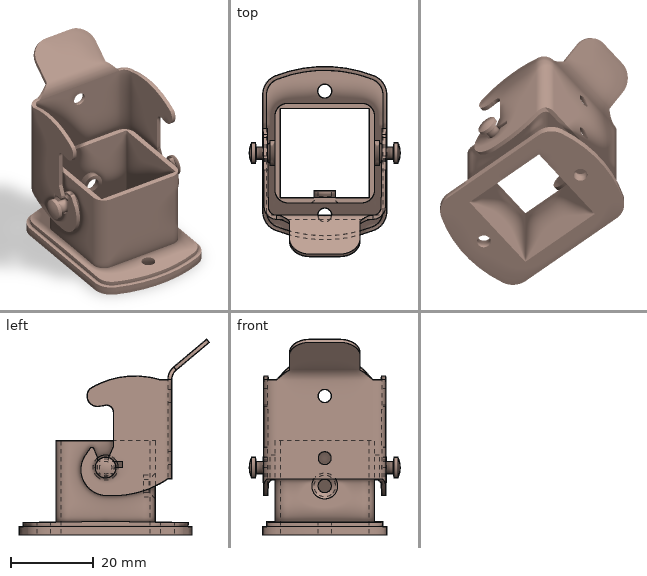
import cadquery as cq
import math

flange_half_x = 15.0
flange_half_y = 20.9
flange_height = 2.1
flange_end_radius = 32.5
flange_corner_radius = 4.95
step_inset = 0.95
step_ridge_z = 3.3
step_edge_z = 3.08
mount_hole_y = 14.95
mount_hole_radius = 1.65

post_size = 24.05
post_top_z = 22.85
post_corner_radius = 3.08
core_size = 21.5

screw_z = 11.9
screw_hole_radius = 1.6
countersink_radius = 3.1
screw_boss_radius = 2.6
screw_boss_length = 1.65

pin_z = 16.33
pin_radius = 1.5
pin_disc_radius = 3.05
pin_disc_x = 13.2
pin_cone_x = 13.85
pin_cone_base_radius = 2.45
pin_cone_tip_radius = 2.1
head_neck_x = 16.5
head_rim_inner_x = 16.75
head_rim_outer_x = 17.65
pin_span = 36.5
head_tip_x = pin_span / 2
head_radius = 2.5

sheet = 1.0
lever_front_y = -16.0
lever_bend_radius = 3.0
lever_half_x_front = 14.57
lever_half_x_back = 14.85
lever_back_y = 6.15
lever_top_z = 37.55
lever_hole_radius = 1.55
lever_hole_heights = (18.6, 33.6)

hook_center = (-0.3, 15.8)
hook_radius = 6.25
hook_bottom_angle = -92
hook_top_angle = 30
hook_tip = (3.3, 21.2)
hook_tip_half_width = 0.43
belly_mid = (-9.15, 10.7)
belly_front_z = 13.6
nose_center = (1.95, 33.6)
nose_radius = 2.55
nose_top_angle = 45
nose_bottom_angle = -107
crown_mid = (-5.2, 38.4)
throat_center = (-0.2, 29.7)
throat_radius = 1.65
throat_start_angle = 65
seat_radius = 2.0
mouth_inner = (-0.7, 18.75)
mouth_outer_z = 21.3
slot_lip_z = 18.85
notch_end_y = -4.1
notch_bottom_z = 16.33
notch_height = 1.45

tab_bend_angle = 50
tab_bend_radius = 3.0
tab_length = 10.4
tab_half_width = 8.5
tab_corner_radius = 4.9
tab_flare_depth = 4.75


def polar(center, radius, degrees):
    """Point on a circle at the given angle."""
    angle = math.radians(degrees)
    return (center[0] + radius * math.cos(angle), center[1] + radius * math.sin(angle))


def bulged_plate(inset, height):
    """Rectangle with arched ends and rounded corners, shrunk by inset."""
    half_x = flange_half_x - inset
    half_y = flange_half_y - inset
    end_radius = flange_end_radius - inset
    plate = cq.Workplane("XY").rect(2 * half_x, 2 * half_y).extrude(height)
    for side in (-1, 1):
        disc = cq.Workplane("XY").center(0, side * (half_y - end_radius)).circle(end_radius).extrude(height)
        plate = plate.intersect(disc)
    return plate.edges("|Z").fillet(flange_corner_radius - inset)


def base():
    flange = bulged_plate(0, flange_height)
    step_half_y = flange_half_y - step_inset
    roof = (
        cq.Workplane("YZ")
        .moveTo(-step_half_y, 0)
        .lineTo(step_half_y, 0)
        .lineTo(step_half_y, step_edge_z)
        .lineTo(0, step_ridge_z)
        .lineTo(-step_half_y, step_edge_z)
        .close()
        .extrude(flange_half_x, both=True)
    )
    step = bulged_plate(step_inset, step_ridge_z).intersect(roof)
    holes = (
        cq.Workplane("XY")
        .pushPoints([(0, -mount_hole_y), (0, mount_hole_y)])
        .circle(mount_hole_radius)
        .extrude(step_ridge_z)
    )
    return flange.union(step).cut(holes)


def post():
    shell = cq.Workplane("XY").rect(post_size, post_size).extrude(post_top_z)
    return shell.edges("|Z").fillet(post_corner_radius)


def screw_boss():
    front = cq.Workplane("XZ", origin=(0, -core_size / 2, screw_z))
    return front.circle(screw_boss_radius).extrude(-screw_boss_length)


def screw_hole():
    """Drilled hole with a 45 degree countersink, on an axis along Y."""
    front_y = -post_size / 2
    inner_y = -core_size / 2 + screw_boss_length
    return (
        cq.Workplane("XY", origin=(0, 0, screw_z))
        .moveTo(0, front_y)
        .lineTo(countersink_radius, front_y)
        .lineTo(screw_hole_radius, front_y + countersink_radius - screw_hole_radius)
        .lineTo(screw_hole_radius, inner_y)
        .lineTo(0, inner_y)
        .close()
        .revolve(360, (0, 0, 0), (0, 1, 0))
    )


def pin():
    """Pivot pin on the +X side: disc, cone, shank and domed head."""
    root_x = (post_size + core_size) / 4
    dome_height = head_tip_x - head_rim_outer_x
    dome_radius = (head_radius**2 + dome_height**2) / (2 * dome_height)
    dome_half_angle = math.degrees(math.asin(head_radius / dome_radius))
    dome_mid = polar((head_tip_x - dome_radius, 0), dome_radius, dome_half_angle / 2)
    return (
        cq.Workplane("XY", origin=(0, 0, pin_z))
        .moveTo(root_x, 0)
        .lineTo(root_x, pin_disc_radius)
        .lineTo(pin_disc_x, pin_disc_radius)
        .lineTo(pin_disc_x, pin_cone_base_radius)
        .lineTo(pin_cone_x, pin_cone_tip_radius)
        .lineTo(pin_cone_x, pin_radius)
        .lineTo(head_neck_x, pin_radius)
        .lineTo(head_rim_inner_x, head_radius)
        .lineTo(head_rim_outer_x, head_radius)
        .threePointArc(dome_mid, (head_tip_x, 0))
        .close()
        .revolve(360, (0, 0, 0), (1, 0, 0))
    )


def lever_plan():
    """U-shaped sheet with slightly splayed sides, as a tall upright strip."""
    strip_height = lever_top_z + sheet

    def filled_u(offset, radius):
        front_x = lever_half_x_front - offset
        back_x = lever_half_x_back - offset
        front_y = lever_front_y + offset
        outline = [(-front_x, front_y), (front_x, front_y), (back_x, lever_back_y), (-back_x, lever_back_y)]
        block = cq.Workplane("XY").polyline(outline).close().extrude(strip_height)
        return block.edges("|Z and <Y").fillet(radius)

    return filled_u(0, lever_bend_radius).cut(filled_u(sheet, lever_bend_radius - sheet))


def cheek_profile():
    """Side outline of the lever, as a solid right across the part."""
    wall_y = throat_center[0] - throat_radius
    tip_y, tip_z = hook_tip
    tip_shoulder_z = tip_z - hook_tip_half_width / 2
    return (
        cq.Workplane("YZ")
        .moveTo(lever_front_y, belly_front_z)
        .lineTo(lever_front_y + sheet, belly_front_z)
        .threePointArc(belly_mid, polar(hook_center, hook_radius, hook_bottom_angle))
        .threePointArc(
            polar(hook_center, hook_radius, (hook_bottom_angle + hook_top_angle) / 2),
            polar(hook_center, hook_radius, hook_top_angle),
        )
        .lineTo(tip_y + hook_tip_half_width, tip_shoulder_z)
        .threePointArc((tip_y, tip_z), (tip_y - hook_tip_half_width, tip_shoulder_z))
        .lineTo(seat_radius, slot_lip_z)
        .lineTo(seat_radius, pin_z)
        .lineTo(mouth_inner[0], pin_z)
        .lineTo(*mouth_inner)
        .lineTo(wall_y, mouth_outer_z)
        .lineTo(wall_y, throat_center[1])
        .threePointArc(
            polar(throat_center, throat_radius, (180 + throat_start_angle) / 2),
            polar(throat_center, throat_radius, throat_start_angle),
        )
        .lineTo(*polar(nose_center, nose_radius, nose_bottom_angle))
        .threePointArc(
            polar(nose_center, nose_radius, (nose_bottom_angle + nose_top_angle) / 2),
            polar(nose_center, nose_radius, nose_top_angle),
        )
        .threePointArc(crown_mid, (lever_front_y + lever_bend_radius, lever_top_z))
        .lineTo(lever_front_y, lever_top_z)
        .close()
        .extrude(flange_half_x, both=True)
    )


def pin_seat():
    """Round seat for the pin with a square notch on its front side."""
    seat = cq.Workplane("YZ", origin=(0, 0, pin_z)).circle(seat_radius).extrude(flange_half_x, both=True)
    notch = cq.Workplane("XY").box(
        2 * flange_half_x, -notch_end_y, notch_height, centered=(True, False, False)
    )
    return seat.union(notch.translate((0, notch_end_y, notch_bottom_z)))


def thumb_tab():
    """Bent root that narrows upward, and a flat tongue with rounded corners."""
    bend = math.radians(tab_bend_angle)
    center = (lever_front_y - tab_bend_radius, lever_top_z)
    outer_radius = tab_bend_radius + sheet

    def radial_rectangle(degrees, half_width):
        """Rectangle in a plane through the bend axis, spanning the sheet with margin."""
        angle = math.radians(degrees)
        plane = cq.Plane(
            origin=(0, *center),
            xDir=(1, 0, 0),
            normal=(0, -math.sin(angle), math.cos(angle)),
        )
        middle = (tab_bend_radius + outer_radius) / 2
        section = cq.Workplane(plane).center(0, middle).rect(2 * half_width, tab_flare_depth)
        return section.wires().val()

    root = (
        cq.Workplane("YZ")
        .moveTo(lever_front_y, lever_top_z)
        .threePointArc(
            polar(center, tab_bend_radius, tab_bend_angle / 2),
            polar(center, tab_bend_radius, tab_bend_angle),
        )
        .lineTo(*polar(center, outer_radius, tab_bend_angle))
        .threePointArc(polar(center, outer_radius, tab_bend_angle / 2), (lever_front_y + sheet, lever_top_z))
        .close()
        .extrude(flange_half_x, both=True)
    )
    flare_start = radial_rectangle(0, lever_half_x_front - lever_bend_radius)
    flare_end = radial_rectangle(tab_bend_angle, tab_half_width)
    flare = cq.Workplane(cq.Solid.makeLoft([flare_start, flare_end], True))
    tongue_start = polar(center, tab_bend_radius, tab_bend_angle)
    tongue_plane = cq.Plane(
        origin=(0, *tongue_start),
        xDir=(1, 0, 0),
        normal=(0, math.cos(bend), math.sin(bend)),
    )
    corner_x = tab_half_width - tab_corner_radius
    corner_y = tab_length - tab_corner_radius
    tongue = (
        cq.Workplane(tongue_plane)
        .moveTo(-tab_half_width, 0)
        .lineTo(tab_half_width, 0)
        .lineTo(tab_half_width, -corner_y)
        .tangentArcPoint((corner_x, -tab_length), relative=False)
        .lineTo(-corner_x, -tab_length)
        .tangentArcPoint((-tab_half_width, -corner_y), relative=False)
        .close()
        .extrude(sheet)
    )
    return root.intersect(flare).union(tongue)


def lever():
    plates = lever_plan().intersect(cheek_profile()).cut(pin_seat())
    holes = (
        cq.Workplane("XZ", origin=(0, lever_front_y + sheet, 0))
        .pushPoints([(0, z) for z in lever_hole_heights])
        .circle(lever_hole_radius)
        .extrude(sheet)
    )
    return plates.cut(holes).union(thumb_tab())


core = cq.Workplane("XY").rect(core_size, core_size).extrude(post_top_z)
right_pin = pin()

body = base().union(post()).cut(core).union(screw_boss()).cut(screw_hole())
body = body.union(right_pin).union(right_pin.mirror("YZ"))
result = body.union(lever())